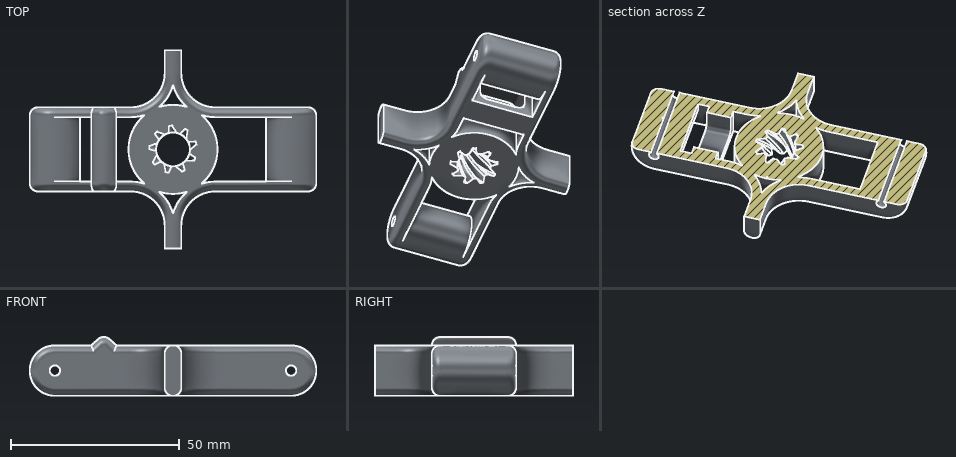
import cadquery as cq
import math

height = 15.0
frame_length = 85.0
frame_width = 25.0
wall = 3.0
end_radius = height / 2
end_x = frame_length / 2 - end_radius
outer_y = frame_width / 2
inner_y = outer_y - wall
pin_hole_diameter = 3.0
edge_fillet = 2.499

arm_width = 5.0
arm_tip_y = 29.4
bend_radius = 10.0
bend_x = arm_width / 2 + bend_radius
bend_y = outer_y + bend_radius

ridge_x = -20.5
ridge_slope = math.radians(42)
ridge_round = 2.5
ridge_half_width = ridge_round / math.sin(ridge_slope)
window_margin = 2.5
window_corner = 2.5

hub_radius = math.hypot(bend_x, bend_y) - bend_radius - edge_fillet
bore_radius = 5.0

groove_count = 9
groove_inner_radius = 4.8
groove_root_radius = 7.1
groove_inner_half_angle = 15.5
groove_root_half_angle = 3.5
groove_inner_phase = 11.0
groove_root_phase = 16.0
groove_twist = 96.0

overlap = 1.0


def polar(radius, degrees, center=(0, 0)):
    """Point at a radius and angle around a center."""
    angle = math.radians(degrees)
    return (center[0] + radius * math.cos(angle), center[1] + radius * math.sin(angle))


def add_ridge(outline):
    """Carry an XZ outline from the left foot of the ridge, over its rounded top, to the right foot."""
    shoulder_x = ridge_round * math.sin(ridge_slope)
    shoulder_z = height + ridge_round * math.cos(ridge_slope)
    return (
        outline.lineTo(ridge_x - shoulder_x, shoulder_z)
        .threePointArc((ridge_x, height + ridge_round), (ridge_x + shoulder_x, shoulder_z))
        .lineTo(ridge_x + ridge_half_width, height)
    )


def make_bar():
    """Round-ended bar with the ridge on top, solid across the full frame width."""
    outline = (
        cq.Workplane("XZ", origin=(0, outer_y, 0))
        .moveTo(-end_x, height)
        .lineTo(ridge_x - ridge_half_width, height)
    )
    return (
        add_ridge(outline)
        .lineTo(end_x, height)
        .threePointArc((end_x + end_radius, end_radius), (end_x, 0))
        .lineTo(-end_x, 0)
        .threePointArc((-end_x - end_radius, end_radius), (-end_x, height))
        .close()
        .extrude(frame_width)
    )


def make_arm():
    """Arm on the +Y side, flaring into the bar through two concave bends."""
    half = arm_width / 2
    return (
        cq.Workplane("XY")
        .moveTo(-bend_x, 0)
        .lineTo(-bend_x, outer_y)
        .threePointArc(polar(bend_radius, -45, (-bend_x, bend_y)), (-half, bend_y))
        .lineTo(-half, arm_tip_y)
        .lineTo(half, arm_tip_y)
        .lineTo(half, bend_y)
        .threePointArc(polar(bend_radius, -135, (bend_x, bend_y)), (bend_x, outer_y))
        .lineTo(bend_x, 0)
        .close()
        .extrude(height)
    )


def make_outer_body():
    """Solid bar and arms with all edges along their outer sides rounded, arm tips left sharp."""
    arm = make_arm()
    body = make_bar().union(arm).union(arm.mirror("XZ"))
    margin = 0.01
    reach_x = frame_length
    low_y = outer_y - margin
    high_y = arm_tip_y - margin
    plus_y_side = cq.selectors.BoxSelector((-reach_x, low_y, -height), (reach_x, high_y, 2 * height))
    minus_y_side = cq.selectors.BoxSelector((-reach_x, -high_y, -height), (reach_x, -low_y, 2 * height))
    return body.edges(plus_y_side + minus_y_side).edges("not |Z").fillet(edge_fillet)


def make_interior_horn():
    """Space on the +Y side that narrows between the arm bends, one wall thickness inside them."""
    radius = bend_radius + wall
    apex_angle = math.degrees(math.acos(bend_x / radius))
    apex = polar(radius, -apex_angle, (-bend_x, bend_y))
    middle_angle = (90 + apex_angle) / 2
    return (
        cq.Workplane("XY", origin=(0, 0, -overlap))
        .moveTo(-bend_x, 0)
        .lineTo(-bend_x, inner_y)
        .threePointArc(polar(radius, -middle_angle, (-bend_x, bend_y)), apex)
        .threePointArc(polar(radius, middle_angle - 180, (bend_x, bend_y)), (bend_x, inner_y))
        .lineTo(bend_x, 0)
        .close()
        .extrude(2 * height)
    )


def make_end_cylinders(radius, half_length):
    """Cylinders along Y, one centered in each rounded end of the frame."""
    return (
        cq.Workplane("XZ", origin=(0, half_length, 0))
        .pushPoints([(-end_x, end_radius), (end_x, end_radius)])
        .circle(radius)
        .extrude(2 * half_length)
    )


def make_cross_plate():
    """Plate below the ridge, wide enough to reach both side walls."""
    outline = (
        cq.Workplane("XZ", origin=(0, outer_y, 0))
        .moveTo(ridge_x - ridge_half_width, -overlap)
        .lineTo(ridge_x - ridge_half_width, height)
    )
    return add_ridge(outline).lineTo(ridge_x + ridge_half_width, -overlap).close().extrude(frame_width)


def make_cavity():
    """Open space between the walls, leaving out the cross plate and the hub."""
    horn = make_interior_horn()
    hub = cq.Workplane("XY", origin=(0, 0, -overlap)).circle(hub_radius).extrude(height + overlap)
    return (
        cq.Workplane("XY", origin=(0, 0, -overlap))
        .rect(frame_length + overlap, 2 * inner_y)
        .extrude(2 * height)
        .union(horn)
        .union(horn.mirror("XZ"))
        .cut(make_cross_plate())
        .cut(hub)
    )


def make_window():
    """Rounded rectangular opening through the cross plate along X."""
    return (
        cq.Workplane("XY", origin=(ridge_x, 0, height / 2))
        .box(
            2 * ridge_half_width + overlap,
            2 * (inner_y - window_margin),
            height - 2 * window_margin,
        )
        .edges("|X")
        .fillet(window_corner)
    )


def cut_splined_bore(body):
    """Cut the round bore and the tapered, leaning grooves that twist around it."""
    body = body.cut(cq.Workplane("XY").circle(bore_radius).extrude(height))
    for index in range(groove_count):
        turn = index * 360 / groove_count - groove_twist
        inner_angle = groove_inner_phase + turn
        root_angle = groove_root_phase + turn
        groove = (
            cq.Workplane("XY")
            .polyline(
                [
                    polar(groove_inner_radius, inner_angle - groove_inner_half_angle),
                    polar(groove_root_radius, root_angle - groove_root_half_angle),
                    polar(groove_root_radius, root_angle + groove_root_half_angle),
                    polar(groove_inner_radius, inner_angle + groove_inner_half_angle),
                ]
            )
            .close()
            .twistExtrude(height, groove_twist)
        )
        body = body.cut(groove)
    return body


rollers = make_end_cylinders(end_radius, outer_y - edge_fillet)
pin_holes = make_end_cylinders(pin_hole_diameter / 2, outer_y + overlap)
frame = make_outer_body().cut(make_cavity()).union(rollers)
frame = frame.cut(make_window()).cut(pin_holes)
result = cut_splined_bore(frame).solids()